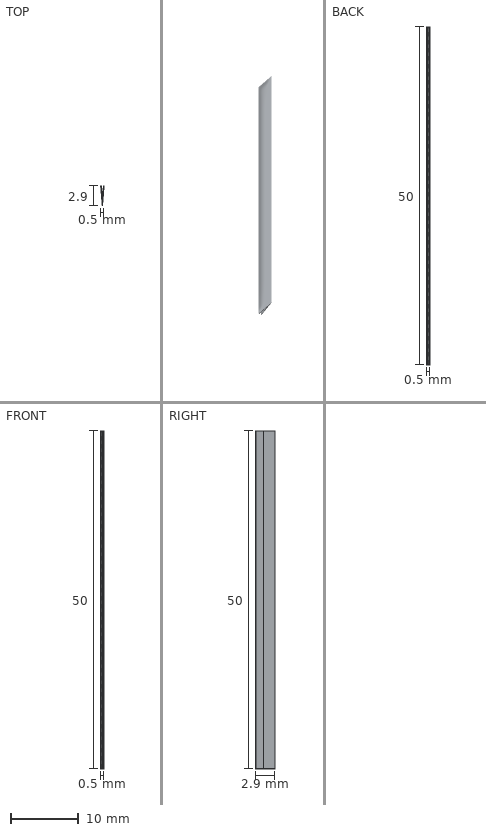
import cadquery as cq

length = 50.0
depth = 2.9
back_width = 0.5
tip_width = 0.03
leg_width = 0.09
groove_depth = 1.75

groove_width = back_width - 2 * leg_width

back_y = depth / 2
front_y = -depth / 2
groove_bottom_y = back_y - groove_depth

section = (
    cq.Workplane("XY")
    .workplane(offset=-length / 2)
    .polyline(
        [
            (-tip_width / 2, front_y),
            (tip_width / 2, front_y),
            (back_width / 2, back_y),
            (groove_width / 2, back_y),
            (0, groove_bottom_y),
            (-groove_width / 2, back_y),
            (-back_width / 2, back_y),
        ]
    )
    .close()
)

result = section.extrude(length)